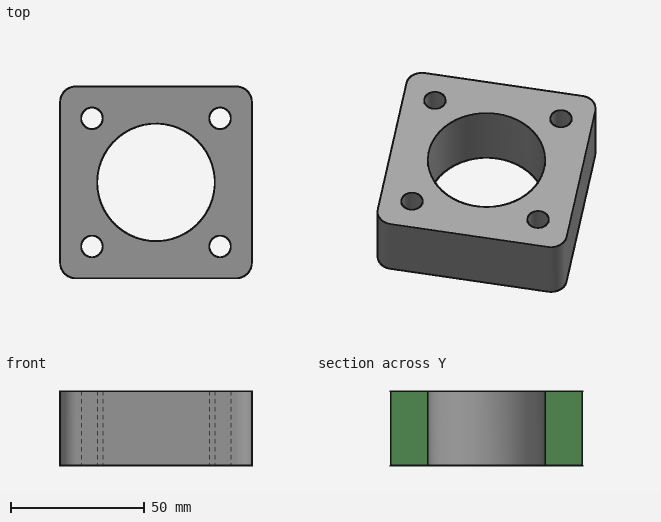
import cadquery as cq

side = 72.0
height = 28.0
corner_radius = 6.0

bore_diameter = 44.0
bolt_hole_diameter = 8.0
bolt_spacing = 48.0

block = (
    cq.Workplane("XY")
    .box(side, side, height, centered=(True, True, False))
    .edges("|Z")
    .fillet(corner_radius)
)

bored_block = block.faces(">Z").workplane().hole(bore_diameter)

result = (
    bored_block.faces(">Z")
    .workplane()
    .rarray(bolt_spacing, bolt_spacing, 2, 2)
    .hole(bolt_hole_diameter)
)